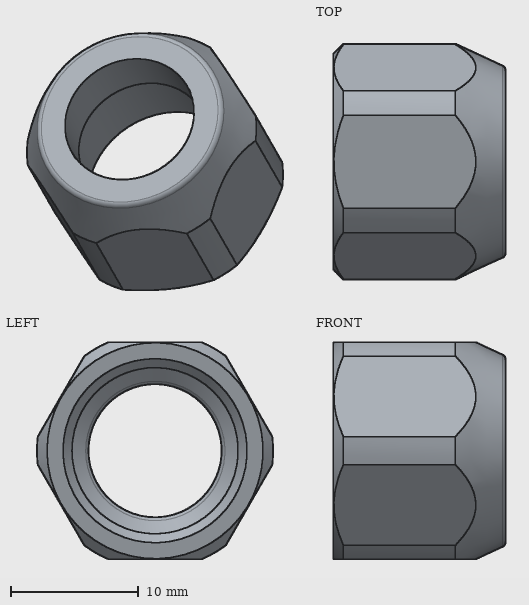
import cadquery as cq
import math

LENGTH = 13.5
HEX_SIDES = 6
ACROSS_FLATS = 17.0
CORNER_RADIUS = 9.25

FRONT_CHAMFER = 0.8
NOSE_START = 9.55
NOSE_ANGLE = math.radians(25)
NOSE_ROUND = 0.45

BORE_RADIUS = 6.5
BORE_CHAMFER = 0.7
BORE_DEPTH = 8.0
HOLE_RADIUS = 5.2
SEAT_ANGLE = math.radians(60)
SEAT_ROUND = 0.5


def revolve_about_x(profile):
    """Turn a closed XY profile through a full circle about the X axis."""
    return profile.revolve(360, (0, 0, 0), (1, 0, 0))


def hexagon_prism():
    """Hexagon bar along X with flats facing +Z and -Z and corners on +Y and -Y."""
    across_corners = ACROSS_FLATS / math.cos(math.pi / HEX_SIDES)
    return cq.Workplane("YZ").polygon(HEX_SIDES, across_corners).extrude(LENGTH)


def turned_envelope():
    """Outer turned shape: chamfered front, straight body, tapered and rounded nose."""
    tip_radius = CORNER_RADIUS - (LENGTH - NOSE_START) * math.tan(NOSE_ANGLE)
    envelope = revolve_about_x(
        cq.Workplane("XY")
        .moveTo(0, 0)
        .lineTo(0, CORNER_RADIUS - FRONT_CHAMFER)
        .lineTo(FRONT_CHAMFER, CORNER_RADIUS)
        .lineTo(NOSE_START, CORNER_RADIUS)
        .lineTo(LENGTH, tip_radius)
        .lineTo(LENGTH, 0)
        .close()
    )
    return envelope.faces(">X").edges().fillet(NOSE_ROUND)


def stepped_bore():
    """Cavity: chamfered bore, conical seat and through hole with a rounded seat edge."""
    seat_length = (BORE_RADIUS - HOLE_RADIUS) / math.tan(SEAT_ANGLE)
    seat_corner_x = BORE_DEPTH + seat_length
    tangent_length = SEAT_ROUND * math.tan(SEAT_ANGLE / 2)
    round_start = (
        seat_corner_x - tangent_length * math.cos(SEAT_ANGLE),
        HOLE_RADIUS + tangent_length * math.sin(SEAT_ANGLE),
    )
    round_end = (seat_corner_x + tangent_length, HOLE_RADIUS)
    round_middle = (
        round_end[0] - SEAT_ROUND * math.sin(SEAT_ANGLE / 2),
        HOLE_RADIUS + SEAT_ROUND * (1 - math.cos(SEAT_ANGLE / 2)),
    )
    return revolve_about_x(
        cq.Workplane("XY")
        .moveTo(0, 0)
        .lineTo(0, BORE_RADIUS + BORE_CHAMFER)
        .lineTo(BORE_CHAMFER, BORE_RADIUS)
        .lineTo(BORE_DEPTH, BORE_RADIUS)
        .lineTo(*round_start)
        .threePointArc(round_middle, round_end)
        .lineTo(LENGTH, HOLE_RADIUS)
        .lineTo(LENGTH, 0)
        .close()
    )


result = hexagon_prism().intersect(turned_envelope()).cut(stepped_bore())